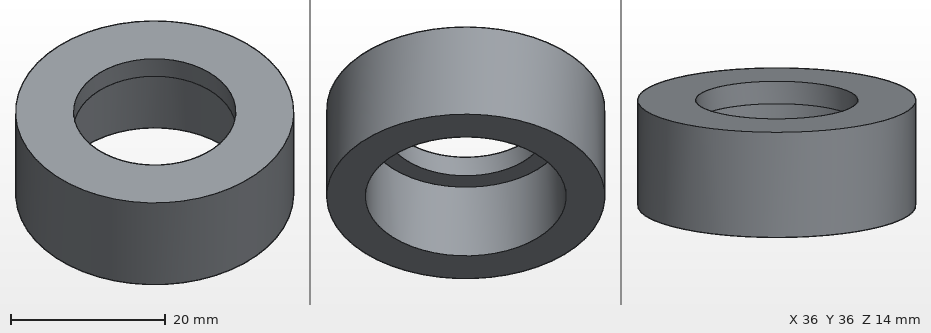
import cadquery as cq

outer_diameter = 36.0
height = 14.0
lip_diameter = 21.0
recess_diameter = 26.0
lip_thickness = 3.0

recess_depth = height - lip_thickness

ring = (
    cq.Workplane("XY")
    .circle(outer_diameter / 2)
    .circle(lip_diameter / 2)
    .extrude(height)
)

recess = cq.Workplane("XY").circle(recess_diameter / 2).extrude(recess_depth)

result = ring.cut(recess)